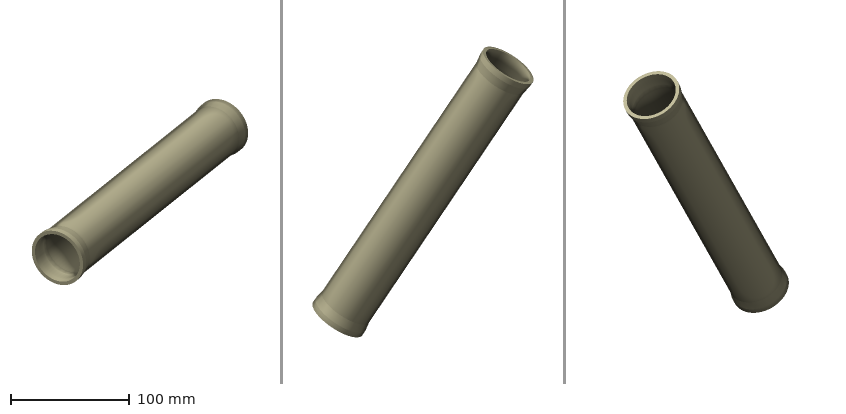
import cadquery as cq

length = 275.0
collar_diameter = 50.0
body_diameter = 47.3
mouth_diameter = 43.7
bore_diameter = 45.5

band_length = 5.0
taper_length = 8.0

mouth_length = 14.8
flare_length = 6.0

half_length = length / 2
band_end = half_length - band_length
taper_end = band_end - taper_length
mouth_end = half_length - mouth_length
flare_end = mouth_end - flare_length
collar_radius = collar_diameter / 2
body_radius = body_diameter / 2
mouth_radius = mouth_diameter / 2
bore_radius = bore_diameter / 2

wall_section = (
    cq.Workplane("XY")
    .moveTo(mouth_radius, -half_length)
    .lineTo(collar_radius, -half_length)
    .lineTo(collar_radius, -band_end)
    .lineTo(body_radius, -taper_end)
    .lineTo(body_radius, taper_end)
    .lineTo(collar_radius, band_end)
    .lineTo(collar_radius, half_length)
    .lineTo(mouth_radius, half_length)
    .lineTo(mouth_radius, mouth_end)
    .lineTo(bore_radius, flare_end)
    .lineTo(bore_radius, -flare_end)
    .lineTo(mouth_radius, -mouth_end)
    .close()
)

result = wall_section.revolve(360, (0, 0, 0), (0, 1, 0))